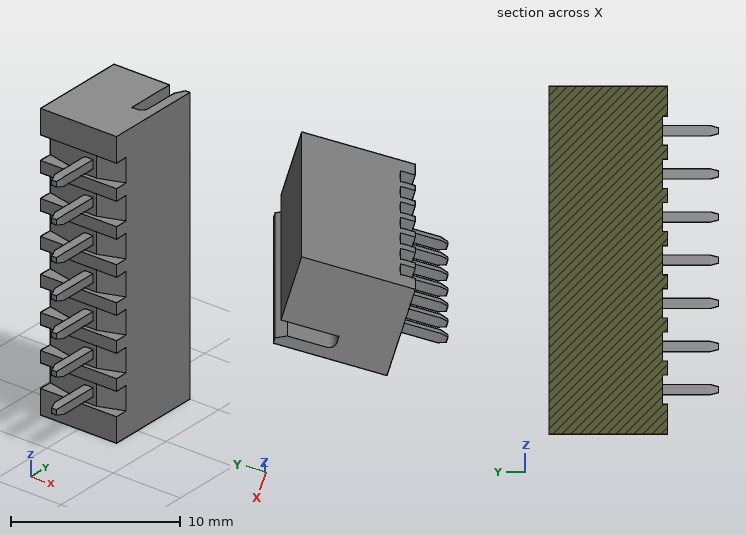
import cadquery as cq

body_width = 5.7
body_depth = 7.0
body_length = 20.5

pin_count = 7
pin_pitch = 2.54
pin_x = 3.39
pin_size = 0.62
pin_reach = 3.0
tip_length = 0.5
tip_size = 0.36

pocket_length = 1.7
land_width = 1.12
land_depth = 0.3
pocket_edge_depth = 0.92

slot_depth = 3.57
slot_width = 0.86
wall_thickness = 0.68
slot_floor_radius = 0.5
lead_in_width = 0.32
lead_in_depth = 0.65


def make_body():
    return cq.Workplane("XY").box(body_width, body_depth, body_length, centered=False)


def make_slot():
    """Slot along the full length, rounded at the wall root and flared at the wall tip."""
    wall_x = body_width - wall_thickness
    back_x = wall_x - slot_width
    floor_y = body_depth - slot_depth
    return (
        cq.Workplane("XY")
        .moveTo(back_x, floor_y)
        .lineTo(wall_x - slot_floor_radius, floor_y)
        .tangentArcPoint((wall_x, floor_y + slot_floor_radius), relative=False)
        .lineTo(wall_x, body_depth - lead_in_depth)
        .lineTo(wall_x + lead_in_width, body_depth)
        .lineTo(back_x, body_depth)
        .close()
        .extrude(body_length)
    )


def make_pocket(pin_z):
    """Relief pocket across the full width of the -Y face, centred on one pin."""
    land_start = pin_x - land_width / 2
    land_end = pin_x + land_width / 2
    outline = [
        (0, 0),
        (0, pocket_edge_depth),
        (land_start, land_depth),
        (land_end, land_depth),
        (body_width, pocket_edge_depth),
        (body_width, 0),
    ]
    bottom_z = pin_z - pocket_length / 2
    floor_plane = cq.Workplane("XY", origin=(0, 0, bottom_z))
    return floor_plane.polyline(outline).close().extrude(pocket_length)


def make_pin(pin_z):
    """Square pin standing on the pocket land, with a tapered tip."""
    shank_end_y = tip_length - pin_reach
    shank = (
        cq.Workplane("XZ", origin=(pin_x, land_depth, pin_z))
        .rect(pin_size, pin_size)
        .extrude(land_depth - shank_end_y)
    )
    tip = (
        cq.Workplane("XZ", origin=(pin_x, shank_end_y, pin_z))
        .rect(pin_size, pin_size)
        .workplane(offset=tip_length)
        .rect(tip_size, tip_size)
        .loft(ruled=True)
    )
    return shank.union(tip)


first_pin_z = (body_length - (pin_count - 1) * pin_pitch) / 2
pin_heights = [first_pin_z + index * pin_pitch for index in range(pin_count)]

result = make_body().cut(make_slot())
for pin_height in pin_heights:
    result = result.cut(make_pocket(pin_height)).union(make_pin(pin_height))